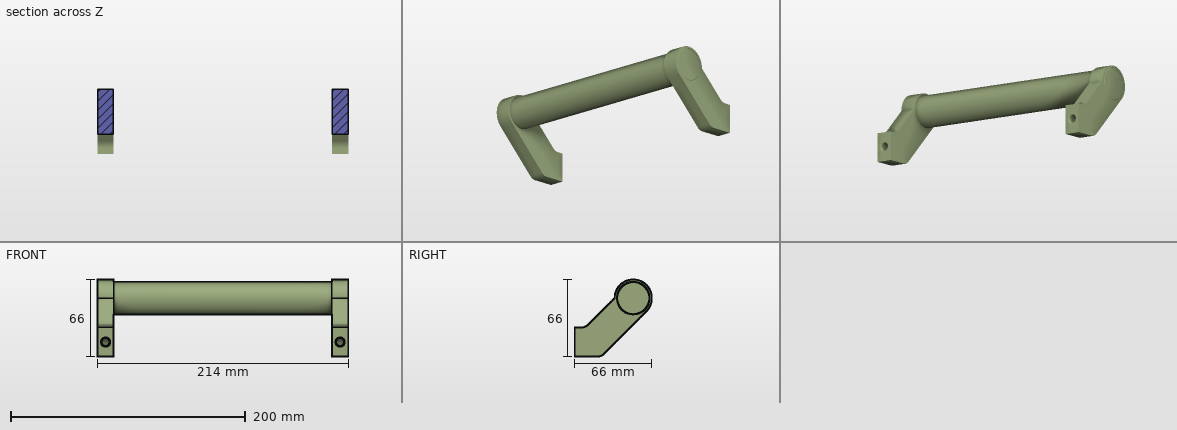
import cadquery as cq
import math

OVERALL_LENGTH = 214.0
BRACKET_WIDTH = 14.0
BOSS_RADIUS = 16.0
TUBE_RADIUS = 14.0
TUBE_END_CHAMFER = 0.4

MOUNT_OFFSET = 50.0
FOOT_DROP = 50.0
FOOT_HEIGHT = 25.0
BEND_RADIUS = 8.0

THREAD_DIAMETER = 8.0
CORE_DIAMETER = 6.65
HOLE_DEPTH = 18.0
DRILL_POINT_ANGLE = 118.0

BRACKET_OFFSET = (OVERALL_LENGTH - BRACKET_WIDTH) / 2
DIAGONAL = math.sqrt(0.5)


def make_bracket(x_center):
    """Round boss, 45 degree arm and upright foot, extruded along X."""
    foot_top = FOOT_HEIGHT - FOOT_DROP
    upper_bend_y = -BOSS_RADIUS + foot_top
    tangent = BOSS_RADIUS * DIAGONAL
    lower_bend_y = 2 * tangent - FOOT_DROP
    arm = (
        cq.Workplane("YZ")
        .moveTo(-BOSS_RADIUS, 0)
        .lineTo(upper_bend_y, foot_top)
        .lineTo(-MOUNT_OFFSET, foot_top)
        .lineTo(-MOUNT_OFFSET, -FOOT_DROP)
        .lineTo(lower_bend_y, -FOOT_DROP)
        .lineTo(tangent, -tangent)
        .threePointArc((tangent, tangent), (-BOSS_RADIUS, 0))
        .close()
        .extrude(BRACKET_WIDTH / 2, both=True)
    )
    for bend in ((upper_bend_y, foot_top), (lower_bend_y, -FOOT_DROP)):
        arm = arm.edges(cq.selectors.NearestToPointSelector((0, *bend))).fillet(BEND_RADIUS)
    return arm.translate((x_center, 0, 0))


def make_tapped_hole(x_center):
    """Blind hole tool with a countersunk mouth and a conical bottom."""
    core = CORE_DIAMETER / 2
    mouth = THREAD_DIAMETER / 2
    point_length = core / math.tan(math.radians(DRILL_POINT_ANGLE / 2))
    hole = (
        cq.Workplane("XY")
        .moveTo(0, 0)
        .lineTo(mouth, 0)
        .lineTo(core, mouth - core)
        .lineTo(core, HOLE_DEPTH)
        .lineTo(0, HOLE_DEPTH + point_length)
        .close()
        .revolve(360, (0, 0, 0), (0, 1, 0))
    )
    return hole.translate((x_center, -MOUNT_OFFSET, FOOT_HEIGHT / 2 - FOOT_DROP))


def make_tube():
    """Solid grip running the full length, flush with the outer bracket faces."""
    tube = cq.Workplane("YZ").circle(TUBE_RADIUS).extrude(OVERALL_LENGTH / 2, both=True)
    return tube.faces("<X or >X").chamfer(TUBE_END_CHAMFER)


def make_tube_bore(x_center):
    """Cylinder removed from a bracket so that the tube passes through it."""
    bore = cq.Workplane("YZ").circle(TUBE_RADIUS).extrude(BRACKET_WIDTH / 2, both=True)
    return bore.translate((x_center, 0, 0))


def make_end(x_center):
    """Complete bracket with its tube bore and its tapped mounting hole."""
    return make_bracket(x_center).cut(make_tube_bore(x_center)).cut(make_tapped_hole(x_center))


result = make_tube()
for side in (-1, 1):
    result = result.union(make_end(side * BRACKET_OFFSET))